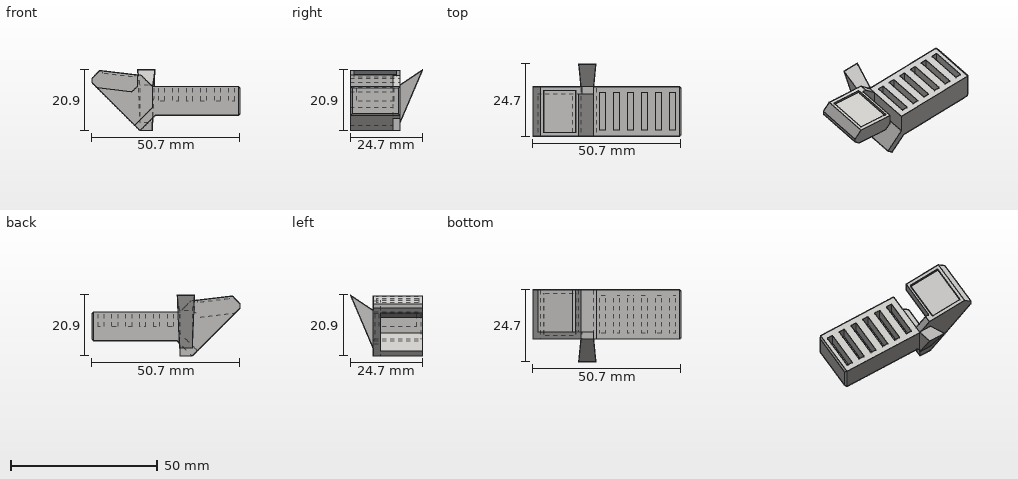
import cadquery as cq
import math

length = 50.7
width = 17.0

box_start = 20.65
box_bottom = 5.2
box_top = 15.1
end_chamfer = 0.6

slot_count = 6
slot_pitch = 4.75
slot_width = 2.1
slot_margin = 2.1
first_slot_center = 23.85
slot_depth = 4.95

nose_bottom = 16.45
wall_thickness = 2.5
ramp_rise = 1.85

head_back = 15.55
head_back_top = 19.05
head_front_top = 17.85
head_peak_x = 2.65
head_peak_z = 20.6
head_lower_front_x = 1.7
head_lower_back_x = 13.6
head_lower_back_z = 13.3
head_back_bottom = 15.1
screen_slope = (head_peak_z - head_back_top) / (head_back - head_peak_x)

recess_start = 3.7
recess_end = 14.7
recess_margin = 1.25
recess_depth = 0.8

fin_tip_y = 24.7
fin_tip_z = 20.85
fin_root_bottom = 2.75
fin_root_top = 15.65
fin_tip_start = 15.6
fin_tip_end = 21.55
fin_taper = 0.75


def side_profile(points, start_y, end_y):
    """Extrude an XZ outline between two Y positions."""
    sketch = cq.Workplane("XZ", origin=(0, start_y, 0)).polyline(points).close()
    return sketch.extrude(start_y - end_y)


def make_box():
    size_x = length - box_start
    box = cq.Workplane("XY").box(size_x, width, box_top - box_bottom, centered=False)
    box = box.translate((box_start, 0, box_bottom)).faces(">X").chamfer(end_chamfer)
    slot_length = width - 2 * slot_margin
    for index in range(slot_count):
        center_x = first_slot_center + index * slot_pitch
        slot = cq.Workplane("XY").box(slot_width, slot_length, slot_depth, centered=False)
        box = box.cut(slot.translate((center_x - slot_width / 2, slot_margin, box_top - slot_depth)))
    return box


def make_side_wall():
    corner_drop = box_start + box_top - head_back - head_back_top
    corner_x = head_back + corner_drop / (1 - screen_slope)
    outline = [
        (0, nose_bottom),
        (nose_bottom, 0),
        (box_start, 0),
        (box_start, box_top),
        (corner_x, box_start + box_top - corner_x),
        (head_back, head_back_top),
        (head_back, head_back_bottom),
    ]
    return side_profile(outline, width - wall_thickness, width)


def make_ramp():
    ramp_back = nose_bottom + box_bottom
    front_x = nose_bottom - ramp_rise
    outline = [
        (nose_bottom, 0),
        (ramp_back, box_bottom),
        (box_start, box_start - front_x + ramp_rise),
        (front_x, ramp_rise),
    ]
    return side_profile(outline, 0, width)


def make_head():
    outline = [
        (0, nose_bottom),
        (0, head_front_top),
        (head_peak_x, head_peak_z),
        (head_back, head_back_top),
        (head_back, head_back_bottom),
        (head_lower_back_x, head_lower_back_z),
        (head_lower_front_x, nose_bottom - head_lower_front_x),
    ]
    tilt = math.atan(screen_slope)
    recess_length = (recess_end - recess_start) / math.cos(tilt)
    screen_plane = cq.Plane(
        origin=(head_peak_x, 0, head_peak_z),
        xDir=(math.cos(tilt), 0, -math.sin(tilt)),
        normal=(math.sin(tilt), 0, math.cos(tilt)),
    )
    recess = (
        cq.Workplane(screen_plane)
        .moveTo((recess_start - head_peak_x) / math.cos(tilt), recess_margin)
        .rect(recess_length, width - 2 * recess_margin, centered=False)
        .extrude(-recess_depth)
    )
    return side_profile(outline, 0, width).cut(recess)


def make_fin():
    triangle = [(width, fin_root_bottom), (width, fin_root_top), (fin_tip_y, fin_tip_z)]
    blank = (
        cq.Workplane("YZ", origin=(fin_tip_start, 0, 0))
        .polyline(triangle)
        .close()
        .extrude(fin_tip_end - fin_tip_start)
    )
    plan = [
        (fin_tip_start + fin_taper, width),
        (fin_tip_start, fin_tip_y),
        (fin_tip_end, fin_tip_y),
        (fin_tip_end - fin_taper, width),
    ]
    return blank.intersect(cq.Workplane("XY").polyline(plan).close().extrude(fin_tip_z))


result = make_box()
for section in (make_side_wall(), make_ramp(), make_head(), make_fin()):
    result = result.union(section)